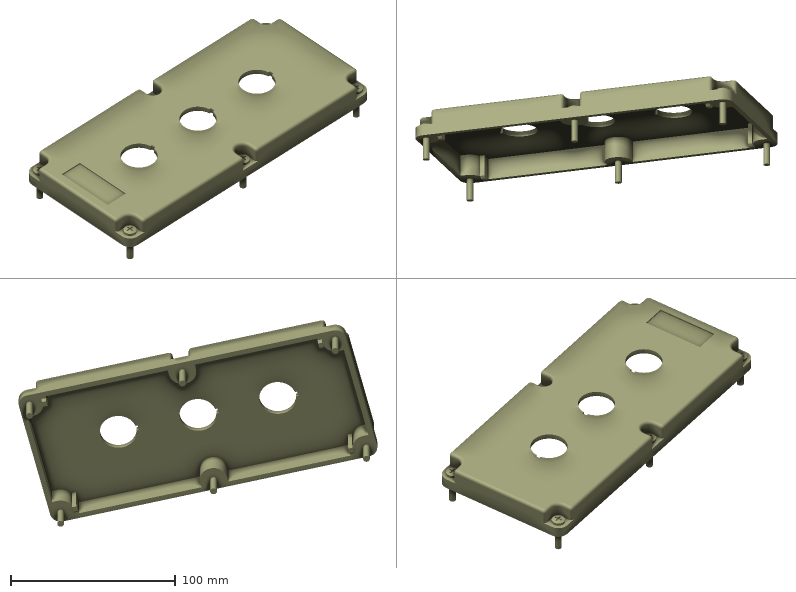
import cadquery as cq

WIDTH = 92.0
LENGTH = 205.0
HEIGHT = 16.5
WALL = 3.3
CORNER_RADIUS = 6.5
EDGE_RADIUS = 2.0

SCREW_INSET = 6.5
POCKET_FLOOR = 6.8
POCKET_RADIUS = 5.1
SHANK_DIAMETER = 4.0
SHANK_PROTRUSION = 13.5
HEAD_DIAMETER = 8.2
HEAD_HEIGHT = 2.5
HEAD_SIDE_HEIGHT = 1.6
CROSS_LENGTH = 4.7
CROSS_WIDTH = 1.0
CROSS_DEPTH = 1.5

HOLE_DIAMETER = 22.5
HOLE_PITCH = 50.0
KEY_WIDTH = 3.0
KEY_REACH = 12.5

LABEL_LENGTH = 40.2
LABEL_WIDTH = 15.4
LABEL_Y = -88.4
LABEL_DEPTH = 1.0

RIB_END_OFFSET = 14.5
RIB_THICKNESS = 2.7
RIB_REACH = 10.7
RIB_TIP_START = 4.5
RIB_TIP_DROP = 1.5

SCREW_X = WIDTH / 2 - SCREW_INSET
SCREW_Y = LENGTH / 2 - SCREW_INSET
SCREW_POSITIONS = [(sx * SCREW_X, sy * SCREW_Y) for sx in (-1, 1) for sy in (-1, 0, 1)]


def block(x_size, y_size, bottom, top):
    """Box centred on the Z axis, spanning the two heights."""
    return cq.Workplane("XY", origin=(0, 0, bottom)).rect(x_size, y_size).extrude(top - bottom)


def cylinder(diameter, bottom, top):
    return cq.Workplane("XY", origin=(0, 0, bottom)).circle(diameter / 2).extrude(top - bottom)


def pocketed_block(radius, inset, bottom, top):
    """Block set in from the cover's sides, with a round-ended pocket of this radius at each screw."""
    body = block(WIDTH - 2 * inset, LENGTH - 2 * inset, bottom, top)
    reach = 2 * SCREW_INSET
    for x, y in SCREW_POSITIONS:
        side = 1 if x > 0 else -1
        pocket = cylinder(2 * radius, bottom, top)
        mouth = block(reach, 2 * radius, bottom, top).translate((side * reach / 2, 0, 0))
        pocket = pocket.union(mouth)
        if y != 0:
            end = 1 if y > 0 else -1
            end_mouth = block(2 * radius, reach, bottom, top).translate((0, end * reach / 2, 0))
            corner = block(reach, reach, bottom, top).translate((side * reach / 2, end * reach / 2, 0))
            pocket = pocket.union(end_mouth).union(corner)
        body = body.cut(pocket.translate((x, y, 0)))
    return body


def cover():
    base = block(WIDTH, LENGTH, 0, POCKET_FLOOR).edges("|Z").fillet(CORNER_RADIUS)
    raised = pocketed_block(POCKET_RADIUS, 0, POCKET_FLOOR, HEIGHT)
    raised = raised.faces("<X or >X or <Y or >Y").edges("|Z").fillet(EDGE_RADIUS)
    raised = raised.faces(">Z").edges().fillet(EDGE_RADIUS)
    cavity = pocketed_block(POCKET_RADIUS + WALL, WALL, 0, HEIGHT - WALL)
    return base.union(raised).cut(cavity)


def keyed_hole():
    hole = cylinder(HOLE_DIAMETER, 0, HEIGHT)
    key = block(KEY_WIDTH, KEY_REACH, 0, HEIGHT).translate((0, KEY_REACH / 2, 0))
    return hole.union(key)


def domed_head():
    """Screw head with a straight side and a shallow domed top."""
    radius = HEAD_DIAMETER / 2
    rise = HEAD_HEIGHT - HEAD_SIDE_HEIGHT
    dome_radius = (radius**2 + rise**2) / (2 * rise)
    dome = cq.Workplane("XY").sphere(dome_radius).translate((0, 0, HEAD_HEIGHT - dome_radius))
    return cylinder(HEAD_DIAMETER, 0, HEAD_HEIGHT).intersect(dome).translate((0, 0, POCKET_FLOOR))


def screw():
    head_top = POCKET_FLOOR + HEAD_HEIGHT
    head = domed_head()
    shank = cylinder(SHANK_DIAMETER, -SHANK_PROTRUSION, POCKET_FLOOR)
    slot_bottom = head_top - CROSS_DEPTH
    slot_x = block(CROSS_LENGTH, CROSS_WIDTH, slot_bottom, head_top)
    slot_y = block(CROSS_WIDTH, CROSS_LENGTH, slot_bottom, head_top)
    return head.union(shank).cut(slot_x).cut(slot_y)


def locating_rib():
    """Rib of the left wall near the -Y end, with a 45 degree tip below the rim."""
    embed = WALL / 2
    profile = [
        (embed, HEIGHT - embed),
        (embed, 0),
        (RIB_TIP_START, 0),
        (RIB_TIP_START + RIB_TIP_DROP, -RIB_TIP_DROP),
        (RIB_REACH - RIB_TIP_DROP, -RIB_TIP_DROP),
        (RIB_REACH, 0),
        (RIB_REACH, HEIGHT - embed),
    ]
    rib = cq.Workplane("XZ").polyline(profile).close().extrude(-RIB_THICKNESS)
    return rib.translate((-WIDTH / 2, -LENGTH / 2 + RIB_END_OFFSET, 0))


result = cover()

left_rib = locating_rib()
for rib in (left_rib, left_rib.mirror("XZ")):
    result = result.union(rib).union(rib.mirror("YZ"))

for row in (-1, 0, 1):
    result = result.cut(keyed_hole().translate((0, row * HOLE_PITCH, 0)))

label_recess = block(LABEL_LENGTH, LABEL_WIDTH, HEIGHT - LABEL_DEPTH, HEIGHT)
result = result.cut(label_recess.translate((0, LABEL_Y, 0)))

for x, y in SCREW_POSITIONS:
    result = result.union(screw().translate((x, y, 0)))